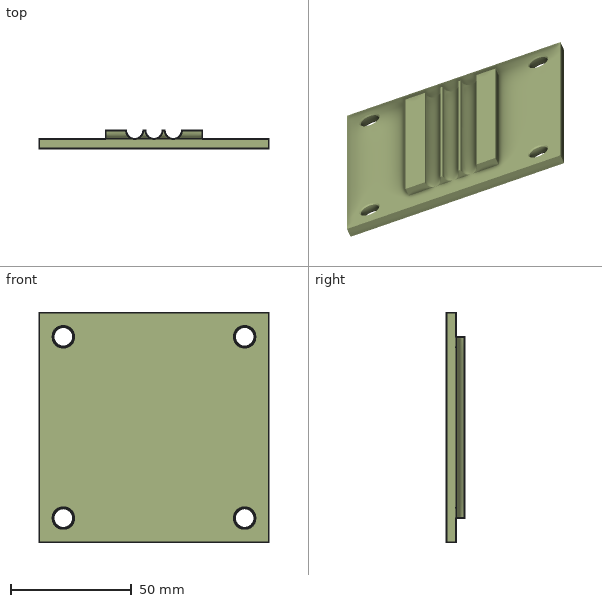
import cadquery as cq

plate_side = 95.0
plate_thickness = 4.0

hole_inset = 10.0
hole_diameter = 8.0
hole_chamfer = 0.5
hole_spacing = plate_side - 2 * hole_inset

block_width = 40.0
block_height = 3.5
block_length = hole_spacing
block_back = plate_thickness + block_height

groove_count = 3
groove_pitch = 8.0
groove_radius = block_height


def make_plate():
    plate = cq.Workplane("XY").box(
        plate_side, plate_thickness, plate_side, centered=(True, False, True)
    )
    return (
        plate.faces("<Y")
        .workplane(centerOption="CenterOfBoundBox")
        .rarray(hole_spacing, hole_spacing, 2, 2)
        .hole(hole_diameter)
        .faces("<Y or >Y")
        .edges("%CIRCLE")
        .chamfer(hole_chamfer)
    )


def make_grooved_block():
    block = (
        cq.Workplane("XY")
        .box(block_width, block_height, block_length, centered=(True, False, True))
        .translate((0, plate_thickness, 0))
    )
    for index in range(groove_count):
        groove_x = (index - (groove_count - 1) / 2) * groove_pitch
        groove = (
            cq.Workplane("XY")
            .center(groove_x, block_back)
            .circle(groove_radius)
            .extrude(block_length / 2, both=True)
        )
        block = block.cut(groove)
    return block


result = make_plate().union(make_grooved_block())